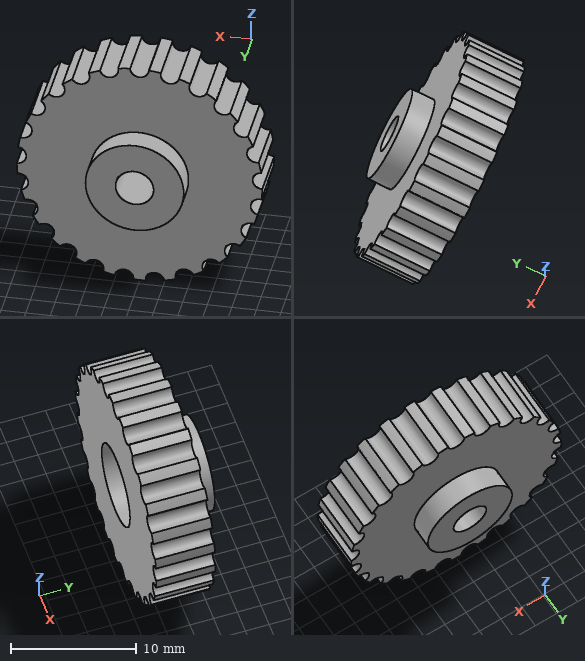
import cadquery as cq
import math

outer_diameter = 20.0
wheel_width = 5.0
hub_diameter = 8.0
hub_length = 2.0
bore_diameter = 3.1
recess_diameter = 7.0
recess_depth = 2.0

groove_count = 25
groove_radius = 0.75
groove_center_radius = 10.0

total_length = wheel_width + hub_length


def cylinder(diameter, start_y, length, x=0.0, z=0.0):
    """Cylinder along +Y, starting at start_y and centred on (x, z)."""
    circle = cq.Workplane("XZ", origin=(x, start_y, z)).circle(diameter / 2)
    return circle.extrude(-length)


body = cylinder(outer_diameter, 0, wheel_width)
body = body.union(cylinder(hub_diameter, 0, total_length))

body = body.cut(cylinder(bore_diameter, 0, total_length))
body = body.cut(cylinder(recess_diameter, 0, recess_depth))

for index in range(groove_count):
    angle = 2 * math.pi * index / groove_count
    groove_x = groove_center_radius * math.sin(angle)
    groove_z = groove_center_radius * math.cos(angle)
    body = body.cut(cylinder(2 * groove_radius, 0, wheel_width, groove_x, groove_z))

result = body